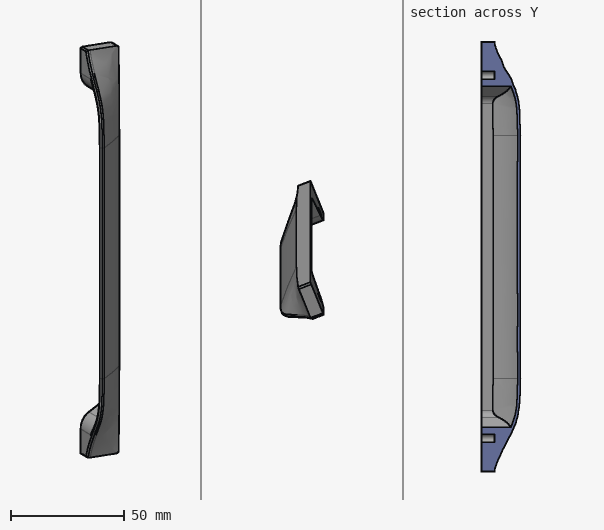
import cadquery as cq
import math

length = 190.0
reach = 20.0
depth = 16.0

base_width = 5.9
rim_height = 1.7
mid_reach = 13.1
mid_height = 9.5

flare = [(6.5, 0.19), (13.0, 0.46), (19.8, 0.765), (24.5, 0.9), (29.0, 0.965)]
flare_length = 41.2

back_wall = 1.7
rim_wall = 1.1
end_wall = 2.3
inner_mid_reach = 12.5
inner_mid_height = 8.5
inner_back_reach = 5.1
ramp_corner = 17.0
ramp_angle = math.radians(30)
front_round = 8.4
back_round = 3.6

hole_diameter = 3.5
hole_depth = 5.7
hole_inset = 14.8
hole_height = 4.8
edge_break = 0.8
end_bevel_depth = 1.0
end_bevel_height = 0.5


def flared_outline(y, end_width, full_reach):
    """Outline in the XZ plane at height y, flaring from end_width to full_reach."""
    bulge = full_reach - end_width
    lower = [(end_width + share * bulge, z) for z, share in flare]
    lower.append((full_reach, flare_length))
    upper = [(x, length - z) for x, z in reversed(lower)]
    return (
        cq.Workplane("XZ", origin=(0, y, 0))
        .lineTo(end_width, 0)
        .spline(lower, includeCurrent=True)
        .lineTo(*upper[0])
        .spline(upper[1:] + [(end_width, length)], includeCurrent=True)
        .lineTo(0, length)
        .close()
    )


def flared_loft(sections):
    """Smooth solid through (y, width at the ends, reach) sections."""
    wires = [flared_outline(*section).val() for section in sections]
    return cq.Workplane(cq.Solid.makeLoft(wires))


def make_shell():
    rim = flared_outline(edge_break, base_width, reach).extrude(edge_break - rim_height)
    bevel = flared_loft([
        (0, base_width - edge_break, reach - edge_break),
        (edge_break, base_width, reach),
    ])
    grip = flared_loft([
        (rim_height, base_width, reach),
        (mid_height, base_width, mid_reach),
        (depth, base_width, base_width + edge_break),
    ])
    return rim.union(bevel).union(grip)


def make_cavity():
    inner_depth = depth - back_wall
    inside = flared_loft([
        (0, base_width - end_wall, reach - rim_wall),
        (inner_mid_height, base_width - end_wall, inner_mid_reach),
        (inner_depth, base_width - end_wall, inner_back_reach),
    ])
    ramp_foot = ramp_corner + inner_depth * math.tan(ramp_angle)
    pocket = (
        cq.Workplane("YZ")
        .moveTo(0, ramp_corner)
        .lineTo(inner_depth, ramp_foot)
        .lineTo(inner_depth, length - ramp_foot)
        .lineTo(0, length - ramp_corner)
        .close()
        .extrude(reach)
        .faces(">Y")
        .edges("|X")
        .fillet(back_round)
    )
    return inside.intersect(pocket.union(front_rounds()))


def front_rounds():
    """Material removed where the ramps curve into the front of the end blocks."""
    turn = math.pi / 2 - ramp_angle
    setback = front_round * math.tan(turn / 2)
    ramp_tangent = (setback * math.cos(ramp_angle), ramp_corner + setback * math.sin(ramp_angle))
    arc_start = ramp_corner - setback
    arc_middle = (
        front_round * (1 - math.cos(turn / 2)),
        arc_start + front_round * math.sin(turn / 2),
    )
    lower = (
        cq.Workplane("YZ")
        .moveTo(0, arc_start)
        .threePointArc(arc_middle, ramp_tangent)
        .lineTo(0, ramp_corner + setback)
        .close()
        .extrude(reach)
    )
    return lower.union(lower.mirror("XY", (0, 0, length / 2)))


def make_holes():
    return (
        cq.Workplane("YZ")
        .pushPoints([(hole_height, hole_inset), (hole_height, length - hole_inset)])
        .circle(hole_diameter / 2)
        .extrude(hole_depth)
    )


def make_bevelled_envelope():
    """Bounding block with the front and back edges of both ends bevelled."""
    return (
        cq.Workplane("XY")
        .box(reach, depth, length, centered=False)
        .faces("<Z or >Z")
        .edges("|X")
        .chamfer(end_bevel_height, end_bevel_depth)
    )


result = make_shell().intersect(make_bevelled_envelope()).cut(make_cavity()).cut(make_holes())